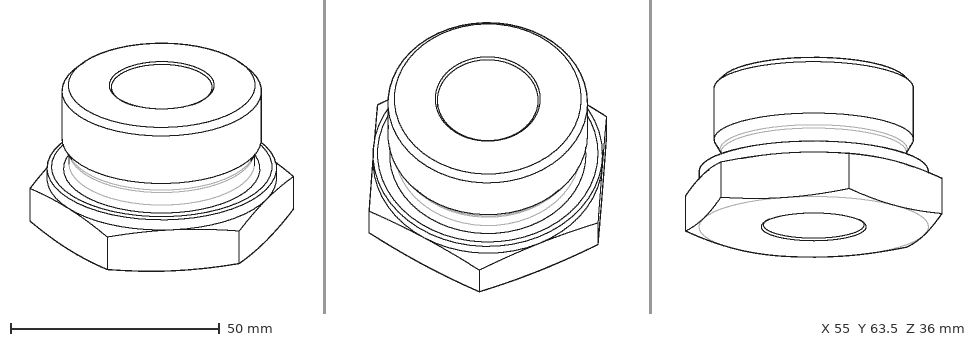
import cadquery as cq
import math

across_corners = 63.5
corner_radius = across_corners / 2
flat_radius = corner_radius * math.cos(math.radians(30))
hex_height = 11.05
corner_drop = (corner_radius - flat_radius) * math.tan(math.radians(15))

total_height = 36.0
collar_top = 14.1
collar_bevel_width = 1.1
collar_bevel_height = 0.3
neck_radius = 44.5 / 2
neck_fillet = 1.5
seat_slope = math.radians(10)
plug_radius = 47.8 / 2
plug_bottom = 21.7
plug_chamfer = 1.5
undercut_slope = math.radians(30)

bore_radius = 24.15 / 2
bore_chamfer = 0.5


def bevelled_hexagon():
    """Hexagon with corners along Y, bevelled by a cone at both ends."""
    prism = (
        cq.Workplane("XY")
        .polygon(6, across_corners)
        .extrude(hex_height)
        .rotate((0, 0, 0), (0, 0, 1), 30)
    )
    bevel_envelope = (
        cq.Workplane("XZ")
        .moveTo(0, 0)
        .lineTo(flat_radius, 0)
        .lineTo(corner_radius, corner_drop)
        .lineTo(corner_radius, hex_height - corner_drop)
        .lineTo(flat_radius, hex_height)
        .lineTo(0, hex_height)
        .close()
        .revolve(360, (0, 0, 0), (0, 1, 0))
    )
    return prism.intersect(bevel_envelope)


def turned_shank():
    """Collar with a dished seat, filleted neck and chamfered plug, revolved as one profile."""
    rim_radius = flat_radius - collar_bevel_width
    fillet_center_radius = neck_radius + neck_fillet

    seat_inner_radius = fillet_center_radius - neck_fillet * math.sin(seat_slope)
    seat_inner_z = collar_top - (rim_radius - seat_inner_radius) * math.tan(seat_slope)
    lower_fillet_z = seat_inner_z + neck_fillet * math.cos(seat_slope)

    neck_corner_z = plug_bottom - (plug_radius - neck_radius) / math.tan(undercut_slope)
    upper_fillet_z = neck_corner_z - neck_fillet * math.tan(undercut_slope / 2)
    cone_start_radius = fillet_center_radius - neck_fillet * math.cos(undercut_slope)
    cone_start_z = upper_fillet_z + neck_fillet * math.sin(undercut_slope)

    return (
        cq.Workplane("XZ")
        .moveTo(0, hex_height)
        .lineTo(flat_radius, hex_height)
        .lineTo(flat_radius, collar_top - collar_bevel_height)
        .lineTo(rim_radius, collar_top)
        .lineTo(seat_inner_radius, seat_inner_z)
        .radiusArc((neck_radius, lower_fillet_z), neck_fillet)
        .lineTo(neck_radius, upper_fillet_z)
        .radiusArc((cone_start_radius, cone_start_z), neck_fillet)
        .lineTo(plug_radius, plug_bottom)
        .lineTo(plug_radius, total_height - plug_chamfer)
        .lineTo(plug_radius - plug_chamfer, total_height)
        .lineTo(0, total_height)
        .close()
        .revolve(360, (0, 0, 0), (0, 1, 0))
    )


def chamfered_bore():
    """Cutter for the through bore with a chamfer at both mouths."""
    mouth_radius = bore_radius + bore_chamfer
    return (
        cq.Workplane("XZ")
        .moveTo(0, 0)
        .lineTo(mouth_radius, 0)
        .lineTo(bore_radius, bore_chamfer)
        .lineTo(bore_radius, total_height - bore_chamfer)
        .lineTo(mouth_radius, total_height)
        .lineTo(0, total_height)
        .close()
        .revolve(360, (0, 0, 0), (0, 1, 0))
    )


result = bevelled_hexagon().union(turned_shank()).cut(chamfered_bore())